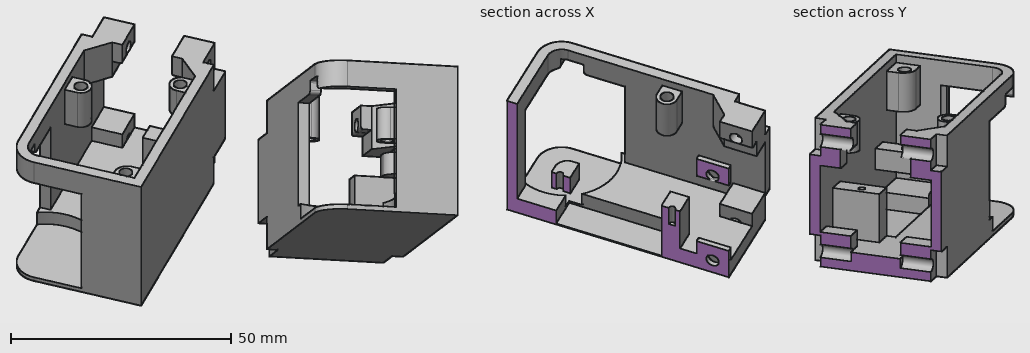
import cadquery as cq

WIDTH = 32.0
LENGTH = 55.0
HEIGHT = 34.5
WALL = 2.6
FLOOR = 4.55
CORNER_RADIUS = 6.05

LUG_REACH = 10.0
LUG_LENGTH = 8.0
LOWER_LUG_RISE = 3.9
UPPER_LUG_DEPTH = 5.5
LUG_EDGE_RADIUS = 0.55
GUSSET_DEPTH = 10.0
GUSSET_REACH = 7.55
GUSSET_SIDE = GUSSET_REACH - WALL
EAR_CUT = 7.55
LUG_HOLE_FROM_END = 4.0
LUG_HOLE_INSET = 3.85
SCREW_DIAMETER = 3.0

BOSS_RADIUS = 2.5
BOSS_SETBACK = 2.0
BOSS_TOP = HEIGHT - BOSS_SETBACK
EAST_BOSS = (26.45, 40.5)
EAST_BOSS_BOTTOM = 25.2
WEST_BOSS = (5.55, 31.95)
WEST_BOSS_BOTTOM = 22.55
CORNER_BOSS = (26.0, 6.1)
CORNER_BOSS_BOTTOM = 23.1

SERVO_X = 15.9
SERVO_Y_MIN = 12.25
SERVO_Y_MAX = 38.35
SERVO_FLOOR = 0.5
POST_X = 18.15
POST_TOP = 16.3
POST_WIDTH = 4.6
FRONT_POST_Y = 11.1
FRONT_POST_HEIGHT = 5.05
POST_HOLE_X = 23.15
FRONT_POST_HOLE_Y = 13.15
REAR_POST_HOLE_Y = 40.9
POST_HOLE_DIAMETER = 1.6
ROUNDED_EDGE_RADIUS = 3.0

RECESS_X = 6.25
RECESS_Y = 7.2
RECESS_RADIUS = 12.65
RECESS_FLOOR = 1.1
WINDOW_TOP = 28.45
WINDOW_X = 17.55
WINDOW_Y = 20.25
WINDOW_CHAMFER = 1.05

NOTCH_Y_MIN = 4.45
NOTCH_Y_MAX = 10.0
NOTCH_TOP = 31.4
NOTCH_TOP_RADIUS = 0.35
NOTCH_MOUTH_RADIUS = 0.9

INNER_X = WIDTH - WALL


def box(x0, x1, y0, y1, z0, z1):
    """Box between two opposite corners."""
    return cq.Workplane("XY").box(x1 - x0, y1 - y0, z1 - z0, centered=False).translate((x0, y0, z0))


def cylinder(center, radius, z0, z1):
    """Upright cylinder between two heights."""
    return cq.Workplane("XY", origin=(*center, z0)).circle(radius).extrude(z1 - z0)


def mirrored(shape):
    """The shape together with its copy on the other side wall."""
    return shape.union(shape.mirror("YZ", (WIDTH / 2, 0, 0)))


def shell():
    """Floor and three walls, with one rounded upright corner."""
    outside = box(0, WIDTH, 0, LENGTH, 0, HEIGHT).edges("|Z and <X and <Y").fillet(CORNER_RADIUS)
    inside = box(WALL, INNER_X, WALL, LENGTH, FLOOR, HEIGHT)
    inside = inside.edges("|Z and <X and <Y").fillet(CORNER_RADIUS - WALL)
    return outside.cut(inside)


def lugs():
    """Lower lugs on the floor, upper lugs hung from deeper gussets."""
    front = LENGTH - LUG_LENGTH
    lower = box(0, LUG_REACH, front, LENGTH, 0, FLOOR + LOWER_LUG_RISE)
    upper = box(0, LUG_REACH, front, LENGTH, HEIGHT - UPPER_LUG_DEPTH, HEIGHT)
    upper = upper.edges("|Y and >X and <Z").fillet(LUG_EDGE_RADIUS)
    gusset = (
        cq.Workplane("XY", origin=(0, 0, HEIGHT - GUSSET_DEPTH))
        .moveTo(0, LENGTH)
        .lineTo(GUSSET_REACH, LENGTH)
        .lineTo(GUSSET_REACH, front)
        .lineTo(WALL, front - GUSSET_SIDE)
        .lineTo(0, front - GUSSET_SIDE)
        .close()
        .extrude(GUSSET_DEPTH)
    )
    return mirrored(lower.union(upper).union(gusset))


def ear_cuts():
    """Corner cuts that set the lugs back from the outer side faces."""
    back = LENGTH - EAR_CUT
    lower = box(0, WALL, back, LENGTH, 0, EAR_CUT)
    upper = box(0, WALL, back, LENGTH, HEIGHT - EAR_CUT, HEIGHT)
    return mirrored(lower.union(upper))


def lug_holes():
    """Sideways screw holes through the lugs."""
    centers = [(LENGTH - LUG_HOLE_FROM_END, z) for z in (LUG_HOLE_INSET, HEIGHT - LUG_HOLE_INSET)]
    holes = cq.Workplane("YZ").pushPoints(centers).circle(SCREW_DIAMETER / 2).extrude(LUG_REACH)
    return mirrored(holes)


def wall_boss(center, wall_x, bottom):
    """Round boss joined to a side wall by a web of its own width."""
    x, y = center
    web = box(min(x, wall_x), max(x, wall_x), y - BOSS_RADIUS, y + BOSS_RADIUS, bottom, BOSS_TOP)
    return cylinder(center, BOSS_RADIUS, bottom, BOSS_TOP).union(web)


def corner_boss():
    """Boss filling the square inner corner, rounded on its free edge."""
    x, y = CORNER_BOSS
    block = box(x - BOSS_RADIUS, INNER_X, WALL, y + BOSS_RADIUS, CORNER_BOSS_BOTTOM, BOSS_TOP)
    return block.edges("|Z and <X and >Y").fillet(ROUNDED_EDGE_RADIUS)


def servo_posts():
    """Rear post standing on the floor, front post hung on the +X wall."""
    rear = box(POST_X, INNER_X, SERVO_Y_MAX, SERVO_Y_MAX + POST_WIDTH, 0, POST_TOP)
    front_bottom = POST_TOP - FRONT_POST_HEIGHT
    front = box(POST_X, INNER_X, FRONT_POST_Y, FRONT_POST_Y + POST_WIDTH, front_bottom, POST_TOP)
    front = front.edges("|Z and <X and <Y").fillet(ROUNDED_EDGE_RADIUS)
    return rear.union(front)


def window():
    """Opening around the rounded corner, merged with the round recess.

    The inner edge of the front wall is chamfered above the floor.
    """
    recess = cylinder((RECESS_X, RECESS_Y), RECESS_RADIUS, RECESS_FLOOR, FLOOR)
    front = box(0, WINDOW_X, 0, WALL, RECESS_FLOOR, WINDOW_TOP)
    side = box(0, CORNER_RADIUS, 0, WINDOW_Y, FLOOR, WINDOW_TOP)
    chamfer = (
        cq.Workplane("XY", origin=(WINDOW_X, WALL, FLOOR))
        .lineTo(WINDOW_CHAMFER, 0)
        .lineTo(0, -WINDOW_CHAMFER)
        .close()
        .extrude(WINDOW_TOP - FLOOR)
    )
    return recess.union(front).union(side).union(chamfer)


def notch():
    """Notch with small rounded top corners and a flared mouth."""
    top_r = NOTCH_TOP_RADIUS
    mouth_r = NOTCH_MOUTH_RADIUS
    return (
        cq.Workplane("YZ")
        .moveTo(NOTCH_Y_MIN - mouth_r, WINDOW_TOP)
        .radiusArc((NOTCH_Y_MIN, WINDOW_TOP + mouth_r), -mouth_r)
        .lineTo(NOTCH_Y_MIN, NOTCH_TOP - top_r)
        .radiusArc((NOTCH_Y_MIN + top_r, NOTCH_TOP), top_r)
        .lineTo(NOTCH_Y_MAX - top_r, NOTCH_TOP)
        .radiusArc((NOTCH_Y_MAX, NOTCH_TOP - top_r), top_r)
        .lineTo(NOTCH_Y_MAX, WINDOW_TOP + mouth_r)
        .radiusArc((NOTCH_Y_MAX + mouth_r, WINDOW_TOP), -mouth_r)
        .close()
        .extrude(CORNER_RADIUS)
    )


result = shell().union(lugs()).cut(ear_cuts()).cut(lug_holes())
result = result.cut(window()).cut(notch())
result = result.cut(box(SERVO_X, INNER_X, SERVO_Y_MIN, SERVO_Y_MAX, SERVO_FLOOR, FLOOR))

result = result.union(wall_boss(EAST_BOSS, INNER_X, EAST_BOSS_BOTTOM))
result = result.union(wall_boss(WEST_BOSS, WALL, WEST_BOSS_BOTTOM))
result = result.union(corner_boss()).union(servo_posts())

bosses = (
    (EAST_BOSS, EAST_BOSS_BOTTOM),
    (WEST_BOSS, WEST_BOSS_BOTTOM),
    (CORNER_BOSS, CORNER_BOSS_BOTTOM),
)
for boss_center, boss_bottom in bosses:
    result = result.cut(cylinder(boss_center, SCREW_DIAMETER / 2, boss_bottom, BOSS_TOP))
for post_hole_y in (FRONT_POST_HOLE_Y, REAR_POST_HOLE_Y):
    post_hole_center = (POST_HOLE_X, post_hole_y)
    post_hole_bottom = POST_TOP - FRONT_POST_HEIGHT
    result = result.cut(cylinder(post_hole_center, POST_HOLE_DIAMETER / 2, post_hole_bottom, POST_TOP))